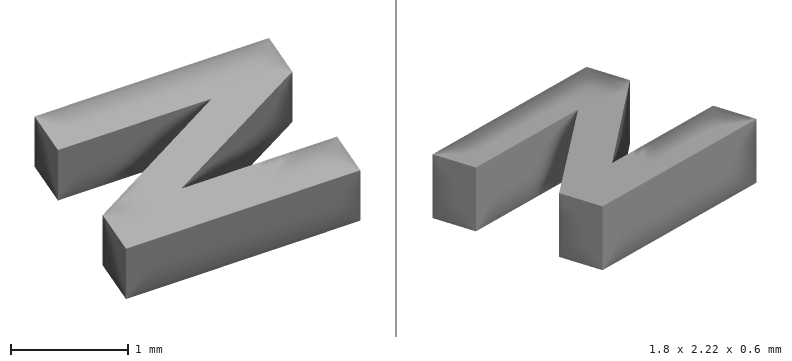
import cadquery as cq

width = 1.8
length = 2.22
thickness = 0.6

leg_width = 0.46
front_notch_depth = 1.456
back_notch_depth = 1.475

outer_x = width / 2
inner_x = outer_x - leg_width
end_y = length / 2

outline = [
    (-outer_x, -end_y),
    (-inner_x, -end_y),
    (-inner_x, -end_y + front_notch_depth),
    (inner_x, -end_y),
    (outer_x, -end_y),
    (outer_x, end_y),
    (inner_x, end_y),
    (inner_x, end_y - back_notch_depth),
    (-inner_x, end_y),
    (-outer_x, end_y),
]

result = cq.Workplane("XY").polyline(outline).close().extrude(thickness)